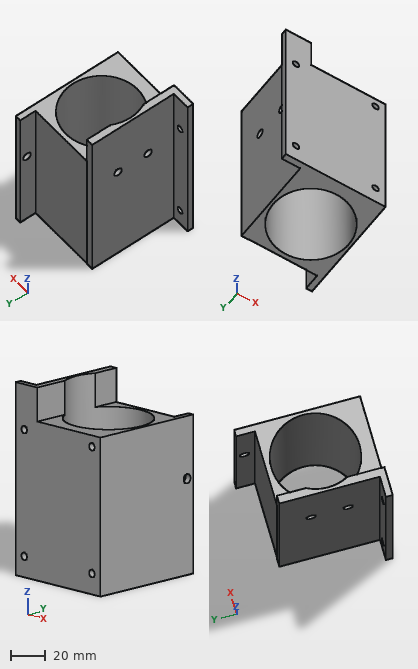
import cadquery as cq

width = 69.0
depth = 75.0
height = 114.3

block_height = 94.2
block_left = 12.7
block_depth = 63.8
bore_diameter = 52.5
bore_x = 40.8
bore_y = 34.5

wall_thickness = 4.9
wall_depth = 64.0
flange_thickness = 4.1
wall_right = block_left + wall_thickness

front_hole_diameter = 4.5
front_hole_columns = (7.0, 62.1)
front_hole_rows = (12.5, 87.4)
front_hole_depth = 11.4

side_hole_diameter = 5.5
wall_hole_rows = (23.0, 45.0)
wall_hole_z = 74.3
flange_hole_y = 70.0
flange_hole_z = 57.0


def box(x_min, x_max, y_min, y_max, top):
    """Box standing on the base plane."""
    size_x = x_max - x_min
    size_y = y_max - y_min
    return cq.Workplane("XY").box(size_x, size_y, top, centered=False).translate((x_min, y_min, 0))


def drill_x(x, y, z, length):
    """Cutter for a side hole running toward +X."""
    return cq.Workplane("YZ", origin=(x, y, z)).circle(side_hole_diameter / 2).extrude(length)


def drill_y(x, z, length):
    """Cutter for a front hole running toward +Y from the front face."""
    return cq.Workplane("XZ", origin=(x, 0, z)).circle(front_hole_diameter / 2).extrude(-length)


body = box(block_left, width, 0, block_depth, block_height)
rear_flange = box(width - flange_thickness, width, 0, depth, block_height)
wall = box(block_left, wall_right, 0, wall_depth, height)
front_flange = box(0, wall_right, 0, flange_thickness, height)
body = body.union(rear_flange).union(wall).union(front_flange)

bore = cq.Workplane("XY").center(bore_x, bore_y).circle(bore_diameter / 2).extrude(height)
body = body.cut(bore)

for x in front_hole_columns:
    for z in front_hole_rows:
        body = body.cut(drill_y(x, z, front_hole_depth))

for y in wall_hole_rows:
    body = body.cut(drill_x(block_left, y, wall_hole_z, bore_x - block_left))

body = body.cut(drill_x(width - flange_thickness, flange_hole_y, flange_hole_z, flange_thickness))

result = body